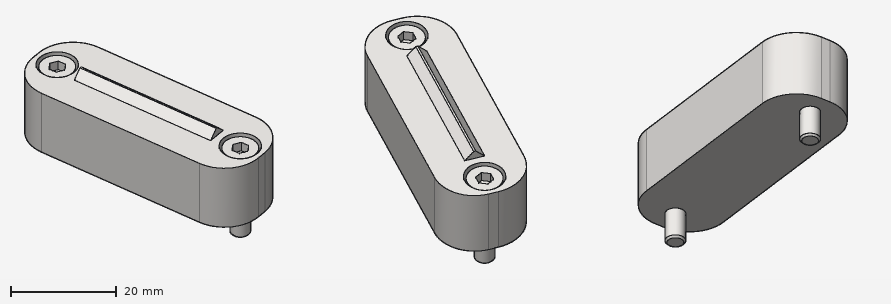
import cadquery as cq
import math

housing_length = 53.0
housing_width = 18.0
housing_height = 14.0
corner_radius = 8.0

screw_spacing = 43.0
shank_diameter = 4.0
shank_protrusion = 6.5
tip_chamfer = 0.4
head_diameter = 7.0
head_height = 4.0
head_recess = 0.5
hex_across_flats = 3.0
hex_depth = 2.0
counterbore_diameter = 8.0

ridge_length = 32.0
ridge_height = 1.8
crest_width = 0.4
ridge_width = crest_width + 2 * ridge_height

head_top = housing_height - head_recess
head_seat = head_top - head_height
screw_positions = [(-screw_spacing / 2, 0), (screw_spacing / 2, 0)]


def make_housing():
    """Rounded block with a counterbored through hole for each screw."""
    block = (
        cq.Workplane("XY")
        .box(housing_length, housing_width, housing_height, centered=(True, True, False))
        .edges("|Z")
        .fillet(corner_radius)
    )
    return (
        block.faces(">Z")
        .workplane(origin=(0, 0, housing_height))
        .pushPoints(screw_positions)
        .cboreHole(shank_diameter, counterbore_diameter, housing_height - head_seat)
    )


def make_screw(position):
    """Cylinder-head screw with a hex socket and a chamfered tip."""
    x, y = position
    shank = (
        cq.Workplane("XY", origin=(x, y, -shank_protrusion))
        .circle(shank_diameter / 2)
        .extrude(shank_protrusion + head_seat)
        .faces("<Z")
        .chamfer(tip_chamfer)
    )
    head = (
        cq.Workplane("XY", origin=(x, y, head_seat))
        .circle(head_diameter / 2)
        .extrude(head_height)
    )
    hex_across_corners = hex_across_flats / math.cos(math.pi / 6)
    socket = (
        cq.Workplane("XY", origin=(x, y, head_top))
        .polygon(6, hex_across_corners)
        .extrude(-hex_depth)
    )
    return shank.union(head).cut(socket)


def make_ridge():
    """Trapezoidal bar running along X on the top face of the housing."""
    crest_z = housing_height + ridge_height
    return (
        cq.Workplane("YZ")
        .moveTo(-ridge_width / 2, housing_height)
        .lineTo(ridge_width / 2, housing_height)
        .lineTo(crest_width / 2, crest_z)
        .lineTo(-crest_width / 2, crest_z)
        .close()
        .extrude(ridge_length / 2, both=True)
    )


housing = make_housing()
ridge = make_ridge()
screws = [make_screw(position) for position in screw_positions]

result = cq.Compound.makeCompound([housing.val(), ridge.val(), *[screw.val() for screw in screws]])